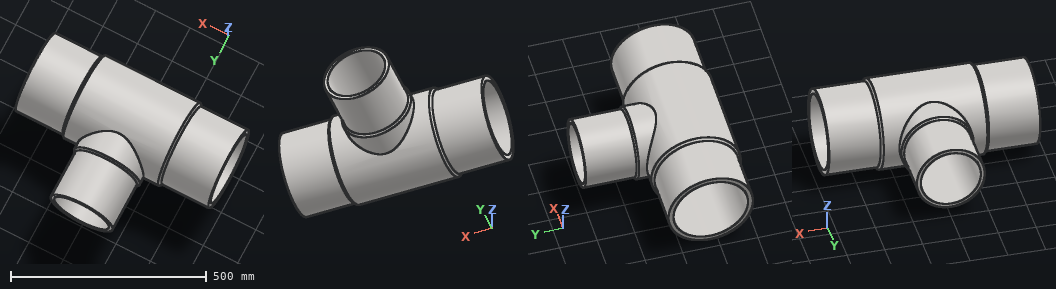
import cadquery as cq

run_length = 558.0
run_diameter = 225.0
run_bore = 198.0
body_diameter = 238.0
body_length = 287.0

overall_depth = 399.0
branch_reach = overall_depth - body_diameter / 2
branch_diameter = 179.5
branch_bore = 158.5
collar_diameter = 191.0
collar_reach = 145.5

body_bevel = (body_diameter - run_diameter) / 2
collar_bevel = (collar_diameter - branch_diameter) / 2


def run_cylinder(diameter, length):
    """Cylinder along X, centred on the origin."""
    return cq.Workplane("YZ").circle(diameter / 2).extrude(length / 2, both=True)


def branch_cylinder(diameter, reach):
    """Cylinder from the run axis out along +Y."""
    return cq.Workplane("XZ").circle(diameter / 2).extrude(-reach)


body = run_cylinder(body_diameter, body_length).faces("<X or >X").chamfer(body_bevel)
collar = branch_cylinder(collar_diameter, collar_reach).faces(">Y").chamfer(collar_bevel)

run_pipe = run_cylinder(run_diameter, run_length)
branch_pipe = branch_cylinder(branch_diameter, branch_reach)

outside = body.union(run_pipe).union(collar).union(branch_pipe)

result = outside.cut(run_cylinder(run_bore, run_length))
result = result.cut(branch_cylinder(branch_bore, branch_reach))